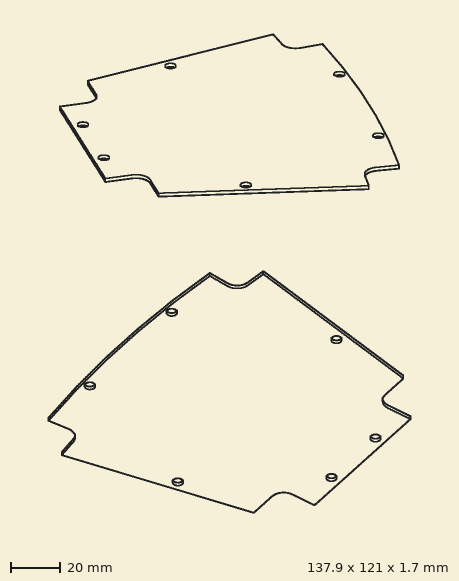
import cadquery as cq

width = 137.9
length = 121.0
thickness = 1.7

tab_half_width = 32.8
tab_height = 17.1
shoulder_half_width = 51.2

side_top_y = 100.8
notch_inner_x = 53.9
notch_inner_y = 102.5
crown_half_width = 55.2
crown_end_y = 117.6
notch_radius = 5.9

hole_diameter = 4.4
hole_places = [(15.0, 4.5), (54.2, 53.1), (28.0, 116.8)]


def make_outline():
    """Extrude the symmetric plate with a flat tab below and an arched crown above."""
    half = [
        (tab_half_width, 0),
        (tab_half_width, tab_height),
        (shoulder_half_width, tab_height),
        (width / 2, side_top_y),
        (notch_inner_x, notch_inner_y),
        (crown_half_width, crown_end_y),
    ]
    mirrored = [(-x, y) for x, y in reversed(half)]
    outline = cq.Workplane("XY").polyline(half, includeCurrent=False)
    outline = outline.threePointArc((0, length), mirrored[0])
    for point in mirrored[1:]:
        outline = outline.lineTo(*point)
    return outline.close().extrude(thickness)


def round_notches(plate):
    """Round the inner corners of the four corner notches."""
    margin = 0.7
    corners = [(tab_half_width, tab_height), (notch_inner_x, notch_inner_y)]
    for x, y in corners:
        for side in (-1, 1):
            selector = cq.selectors.BoxSelector(
                (side * x - margin, y - margin, -margin),
                (side * x + margin, y + margin, thickness + margin),
            )
            plate = plate.edges("|Z").edges(selector).fillet(notch_radius)
    return plate


def drill_holes(plate):
    """Drill the mirrored pairs of screw holes through the plate."""
    places = [(side * x, y) for x, y in hole_places for side in (-1, 1)]
    drills = cq.Workplane("XY").pushPoints(places).circle(hole_diameter / 2).extrude(thickness)
    return plate.cut(drills)


result = drill_holes(round_notches(make_outline()))